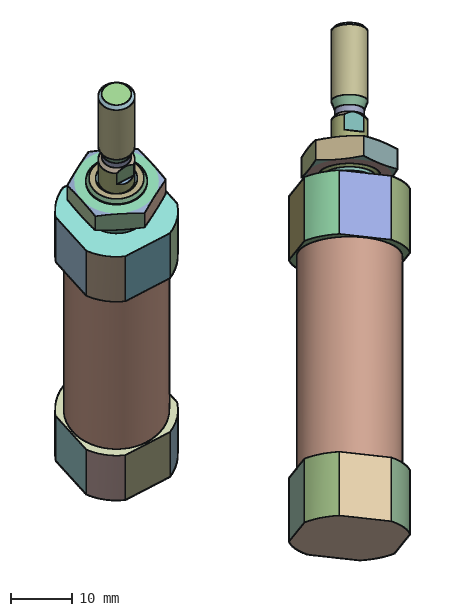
import cadquery as cq
import math

total_height = 89.6
cap_height = 11.2
barrel_top = 49.5
head_top = barrel_top + cap_height
collar_top = 62.2
nut_bottom = 63.8
nut_height = 4.0
neck_top = 68.6

cap_across_flats = 18.0
cap_diameter = 20.1
barrel_diameter = 17.3
thread_diameter = 10.0
thread_tip_diameter = 9.0
relief_diameter = 8.4
relief_root_diameter = 9.3
thread_chamfer_height = 0.6
relief_bottom = 62.9
relief_top = 63.5
thread_start = relief_top + (thread_diameter - relief_diameter) / 2

rod_diameter = 6.0
groove_diameter = 4.8
rod_tip_diameter = 4.8
rod_bottom = barrel_top
shoulder_top = 74.0
shoulder_chamfer_height = 0.7
groove_top = 75.2
rod_thread_bottom = 76.7
flat_bottom = 70.6
flat_ramp_height = 0.3
rod_across_flats = 5.0
rod_hole_mouth_diameter = 6.8

nut_across_flats = 14.0
nut_face_diameter = 13.8
nut_chamfer_height = 0.3


def revolve_profile(points):
    """Revolve a closed (radius, height) outline about the Z axis."""
    return cq.Workplane("XZ").polyline(points).close().revolve(360, (0, 0), (0, 1))


def cylinder(diameter, bottom, top):
    return cq.Workplane("XY").workplane(offset=bottom).circle(diameter / 2).extrude(top - bottom)


def make_cap(bottom):
    """Round end cap with four flats."""
    square = (
        cq.Workplane("XY")
        .workplane(offset=bottom)
        .rect(cap_across_flats, cap_across_flats)
        .extrude(cap_height)
    )
    return square.intersect(cylinder(cap_diameter, bottom, bottom + cap_height))


def make_neck():
    """Collar, thread relief and mounting thread in one turned piece."""
    thread_radius = thread_diameter / 2
    relief_radius = relief_diameter / 2
    return revolve_profile([
        (0, head_top),
        (thread_radius, head_top),
        (thread_radius, collar_top),
        (relief_root_diameter / 2, collar_top),
        (relief_radius, relief_bottom),
        (relief_radius, relief_top),
        (thread_radius, thread_start),
        (thread_radius, neck_top - thread_chamfer_height),
        (thread_tip_diameter / 2, neck_top),
        (0, neck_top),
    ])


def make_rod_hole():
    """Blind rod hole with a 45 degree countersunk mouth."""
    rod_radius = rod_diameter / 2
    mouth_radius = rod_hole_mouth_diameter / 2
    return revolve_profile([
        (0, rod_bottom),
        (rod_radius, rod_bottom),
        (rod_radius, neck_top - (mouth_radius - rod_radius)),
        (mouth_radius, neck_top),
        (0, neck_top),
    ])


def make_housing():
    barrel = cylinder(barrel_diameter, cap_height, barrel_top)
    solid = make_cap(0).union(barrel).union(make_cap(barrel_top)).union(make_neck())
    return solid.cut(make_rod_hole())


def make_rod():
    """Piston rod with a grooved thread runout and two wrench flats ending in short ramps."""
    rod_radius = rod_diameter / 2
    groove_radius = groove_diameter / 2
    tip_radius = rod_tip_diameter / 2
    rod = revolve_profile([
        (0, rod_bottom),
        (rod_radius, rod_bottom),
        (rod_radius, shoulder_top - shoulder_chamfer_height),
        (groove_radius, shoulder_top),
        (groove_radius, groove_top),
        (rod_radius, rod_thread_bottom),
        (rod_radius, total_height - (rod_radius - tip_radius)),
        (tip_radius, total_height),
        (0, total_height),
    ])
    flat_radius = rod_across_flats / 2
    ramp_bottom = flat_bottom - flat_ramp_height
    flat_cut = (
        cq.Workplane("XZ")
        .polyline([
            (flat_radius, shoulder_top),
            (flat_radius, flat_bottom),
            (rod_radius, ramp_bottom),
            (rod_radius, shoulder_top),
        ])
        .close()
        .extrude(rod_radius, both=True)
    )
    rod = rod.cut(flat_cut).cut(flat_cut.mirror("YZ"))
    return rod


def make_nut():
    """Hexagonal nut with its corners on the X axis and both faces chamfered."""
    corner_diameter = nut_across_flats / math.cos(math.radians(30))
    nut_top = nut_bottom + nut_height
    corner_radius = corner_diameter / 2
    face_radius = nut_face_diameter / 2
    hexagon = (
        cq.Workplane("XY")
        .workplane(offset=nut_bottom)
        .polygon(6, corner_diameter)
        .extrude(nut_height)
    )
    envelope = revolve_profile([
        (0, nut_bottom),
        (face_radius, nut_bottom),
        (corner_radius, nut_bottom + nut_chamfer_height),
        (corner_radius, nut_top - nut_chamfer_height),
        (face_radius, nut_top),
        (0, nut_top),
    ])
    return hexagon.intersect(envelope).cut(cylinder(thread_diameter, nut_bottom, nut_top))


housing = make_housing()
rod = make_rod()
nut = make_nut()

result = cq.Compound.makeCompound([housing.val(), rod.val(), nut.val()])